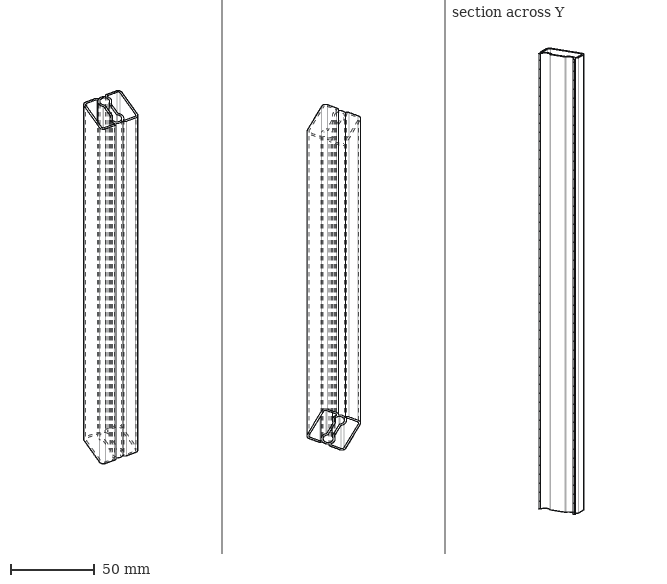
import cadquery as cq
import math

width = 25.4
length = 285.71
wall = 1.27
corner_radius = 2 * wall

lobe_x = 7.95
lobe_inner_radius = 2.94
slot_half_height = wall

shoulder_start = 4.0
shoulder_radius = 1.5 * wall

web_fillet = 0.6
slot_fillet = 0.9
wall_fillet = 0.6

half_width = width / 2
bore_width = width - 2 * wall
bore_radius = corner_radius - wall
lobe_outer_radius = lobe_inner_radius + wall
web_half_height = slot_half_height + wall
lobe_centers = [(-lobe_x, 0), (lobe_x, 0)]


def rounded_square(side, radius):
    """Full-length square bar with rounded lengthwise edges."""
    return cq.Workplane("XY").rect(side, side).extrude(length).edges("|Z").fillet(radius)


def dumbbell(half_height, lobe_radius):
    """Full-length flat slab ending in a round lobe at each side."""
    slab = cq.Workplane("XY").rect(2 * lobe_x, 2 * half_height).extrude(length)
    lobes = cq.Workplane("XY").pushPoints(lobe_centers).circle(lobe_radius).extrude(length)
    return slab.union(lobes)


def side_gap(side):
    """Opening through one side wall between its two rounded shoulders."""
    face_x = side * half_width
    end_x = side * (half_width - shoulder_radius)
    tip_y = shoulder_start - shoulder_radius
    return (
        cq.Workplane("XY")
        .moveTo(face_x, -shoulder_start)
        .lineTo(face_x, shoulder_start)
        .radiusArc((end_x, tip_y), side * shoulder_radius)
        .lineTo(end_x, -tip_y)
        .radiusArc((face_x, -shoulder_start), side * shoulder_radius)
        .close()
        .extrude(length)
    )


def fillet_four_edges(body, x, y, radius):
    """Round the four lengthwise edges at (+-x, +-y)."""
    for sign_x in (-1, 1):
        for sign_y in (-1, 1):
            edge_middle = (sign_x * x, sign_y * y, length / 2)
            body = body.edges(cq.NearestToPointSelector(edge_middle)).fillet(radius)
    return body


def lobe_crossing_x(radius, y):
    """Inboard X at which a lobe circle crosses height y."""
    return lobe_x - math.sqrt(radius**2 - y**2)


profile = rounded_square(width, corner_radius).cut(rounded_square(bore_width, bore_radius))
for side in (-1, 1):
    profile = profile.cut(side_gap(side))

profile = profile.union(dumbbell(web_half_height, lobe_outer_radius))
profile = profile.cut(dumbbell(slot_half_height, lobe_inner_radius))

web_edge_x = lobe_crossing_x(lobe_outer_radius, web_half_height)
profile = fillet_four_edges(profile, web_edge_x, web_half_height, web_fillet)

slot_edge_x = lobe_crossing_x(lobe_inner_radius, slot_half_height)
profile = fillet_four_edges(profile, slot_edge_x, slot_half_height, slot_fillet)

wall_edge_x = half_width - wall
wall_edge_y = math.sqrt(lobe_outer_radius**2 - (wall_edge_x - lobe_x) ** 2)
result = fillet_four_edges(profile, wall_edge_x, wall_edge_y, wall_fillet).solids()